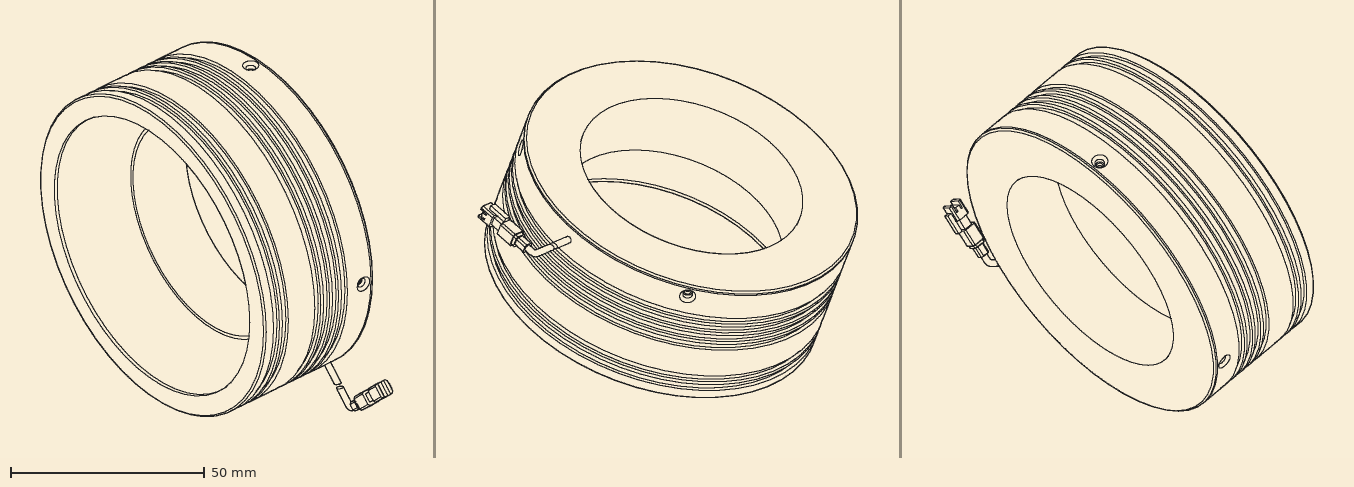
import cadquery as cq
import math

ring_diameter = 90.0
ring_radius = ring_diameter / 2
ring_length = 37.0
rear_y = ring_length / 2
front_y = -ring_length / 2
ring_chamfer = 0.5
cut_margin = 1.0

cover_thickness = 1.0
bore_radius = 30.0
tube_radius = 30.9
cover_length = 17.9
tube_end_y = rear_y - cover_length

funnel_radius = 39.0
funnel_lip = 1.0

groove_depth = 1.0
groove_width = 2.0
rib_width = 1.0
land_width = 9.0
rear_groove_count = 4
front_groove_count = 2

hole_count = 4
hole_from_rear = 3.5
hole_diameter = 2.5
hole_depth = 2.0
pilot_diameter = 1.7
pilot_depth = 3.0
drill_half_angle = 59.0
countersink_diameter = 4.2

exit_angle = 45.0
cable_y = 14.0
cable_diameter = 1.8
cable_radius = cable_diameter / 2
bend_radius = 1.0
cable_inset = 2.0
lead_x = 58.0
break_x = 51.3
break_gap = 1.2
break_slope = 0.5

connector_width = 4.0
connector_chamfer = 0.5
sleeve_width = 2.6
sleeve_start = 2.7
collar_width = 3.4
collar_start = 5.8
grip_start = 6.8
grip_end = 11.6

neck_width = 2.4
head_start = 14.7
head_end = 19.0
slot_start = 16.8
tongue_end = 18.0
tongue_thickness = 1.2
slot_width = 0.4

latch_width = 1.6
latch_height = 1.2
latch_end = 17.2


def annulus(outer_radius, inner_radius, start_y, length):
    """Tube along -Y whose rear end is at start_y."""
    return (
        cq.Workplane("XZ", origin=(0, start_y, 0))
        .circle(outer_radius)
        .circle(inner_radius)
        .extrude(length)
    )


def box_along_z(width_x, width_y, start_z, end_z):
    """Bar centred on the connector axis, from start_z to end_z."""
    return (
        cq.Workplane("XY", origin=(lead_x, cable_y, start_z))
        .rect(width_x, width_y)
        .extrude(end_z - start_z)
    )


def turned_to_exit(body):
    """Swing a body from the +X direction to the cable exit direction."""
    return body.rotate((0, 0, 0), (0, 1, 0), exit_angle)


def revolved_about_y(profile):
    """Ring from a closed outline of (radius, y) points."""
    return cq.Workplane("XY").polyline(profile).close().revolve(360, (0, 0, 0), (0, 1, 0))


cover_front_y = rear_y - cover_thickness
cover = revolved_about_y([
    (bore_radius, rear_y),
    (ring_radius - ring_chamfer, rear_y),
    (ring_radius, rear_y - ring_chamfer),
    (ring_radius, cover_front_y),
    (tube_radius, cover_front_y),
    (tube_radius, tube_end_y),
    (bore_radius, tube_end_y),
])


def housing_blank():
    """Ring that fits round the cover's tube and widens to a funnel at the front."""
    return revolved_about_y([
        (tube_radius, cover_front_y),
        (ring_radius, cover_front_y),
        (ring_radius, front_y + ring_chamfer),
        (ring_radius - ring_chamfer, front_y),
        (funnel_radius, front_y),
        (funnel_radius, front_y + funnel_lip),
        (tube_radius, tube_end_y),
    ])


def cut_groove_band(ring, first_y, count):
    groove_bottom = ring_radius - groove_depth
    for index in range(count):
        start_y = first_y - index * (groove_width + rib_width)
        ring = ring.cut(annulus(ring_radius + cut_margin, groove_bottom, start_y, groove_width))
    return ring


def radial_hole(angle):
    """Countersunk blind hole, stepped down to a pilot with a drill point."""
    hole_radius = hole_diameter / 2
    sink_radius = countersink_diameter / 2
    sink_bottom = ring_radius - (sink_radius - hole_radius)
    floor = ring_radius - hole_depth
    pilot_radius = pilot_diameter / 2
    pilot_floor = ring_radius - pilot_depth
    point = pilot_floor - pilot_radius / math.tan(math.radians(drill_half_angle))
    hole_y = rear_y - hole_from_rear
    profile = [
        (point, hole_y),
        (pilot_floor, hole_y + pilot_radius),
        (floor, hole_y + pilot_radius),
        (floor, hole_y + hole_radius),
        (sink_bottom, hole_y + hole_radius),
        (ring_radius, hole_y + sink_radius),
        (ring_radius + cut_margin, hole_y + sink_radius),
        (ring_radius + cut_margin, hole_y),
    ]
    hole = (
        cq.Workplane("XY").polyline(profile).close()
        .revolve(360, (0, hole_y, 0), (1, hole_y, 0))
    )
    return hole.rotate((0, 0, 0), (0, 1, 0), angle)


cable_start = ring_radius - cable_inset

housing = housing_blank()
rear_band_y = rear_y - land_width
rear_band_length = rear_groove_count * groove_width + (rear_groove_count - 1) * rib_width
front_band_y = rear_band_y - rear_band_length - land_width
housing = cut_groove_band(housing, rear_band_y, rear_groove_count)
housing = cut_groove_band(housing, front_band_y, front_groove_count)
for index in range(hole_count):
    housing = housing.cut(radial_hole(index * 360 / hole_count))
cable_hole = (
    cq.Workplane("YZ", origin=(cable_start, cable_y, 0))
    .circle(cable_radius)
    .extrude(cable_inset + cut_margin)
)
housing = housing.cut(turned_to_exit(cable_hole))


def break_cut():
    """Slanted slab that separates the two cable lengths."""
    run = break_slope * cable_diameter
    profile = [
        (break_x - break_gap / 2 - run, -cable_diameter),
        (break_x + break_gap / 2 - run, -cable_diameter),
        (break_x + break_gap / 2 + run, cable_diameter),
        (break_x - break_gap / 2 + run, cable_diameter),
    ]
    return (
        cq.Workplane("XZ", origin=(0, cable_y, 0))
        .polyline(profile).close()
        .extrude(cable_diameter, both=True)
    )


def bent_cable():
    """Radial leg from inside the ring, a tight right-angle bend, and a leg up to the connector."""
    bend_start = lead_x - bend_radius
    bend_middle = bend_radius * math.sqrt(0.5)
    path = (
        cq.Workplane("XZ", origin=(0, cable_y, 0))
        .moveTo(cable_start, 0)
        .lineTo(bend_start, 0)
        .threePointArc((bend_start + bend_middle, bend_radius - bend_middle), (lead_x, bend_radius))
        .lineTo(lead_x, sleeve_start)
    )
    return cq.Workplane("YZ", origin=(cable_start, cable_y, 0)).circle(cable_radius).sweep(path)


cable_lengths = bent_cable().cut(break_cut())
stub = cable_lengths.solids("<X")
lead = cable_lengths.solids(">X")


def chamfered_bar(width, start_z, end_z):
    """Square bar with its four long edges chamfered."""
    return box_along_z(width, width, start_z, end_z).edges("|Z").chamfer(connector_chamfer)


def slotted_head():
    head = chamfered_bar(connector_width, head_start, head_end)
    mouth = box_along_z(connector_width, tongue_thickness + 2 * slot_width, slot_start, head_end)
    tongue = box_along_z(connector_width, tongue_thickness, slot_start, tongue_end)
    return head.cut(mouth).union(tongue)


def latch():
    """Bar on the rear of the head that reaches back over the neck to the grip."""
    base_y = cable_y + connector_width / 2
    return (
        cq.Workplane("XY", origin=(lead_x, base_y + latch_height / 2, grip_end))
        .rect(latch_width, latch_height)
        .extrude(latch_end - grip_end)
    )


sleeve = chamfered_bar(sleeve_width, sleeve_start, collar_start)
collar = chamfered_bar(collar_width, collar_start, grip_start)
grip = chamfered_bar(connector_width, grip_start, grip_end)
neck = box_along_z(neck_width, neck_width, grip_end, head_start)
connector = sleeve.union(collar).union(grip).union(neck).union(slotted_head()).union(latch())

result = cq.Compound.makeCompound([
    housing.val(),
    cover.val(),
    turned_to_exit(stub).val(),
    turned_to_exit(lead).val(),
    turned_to_exit(connector).val(),
])